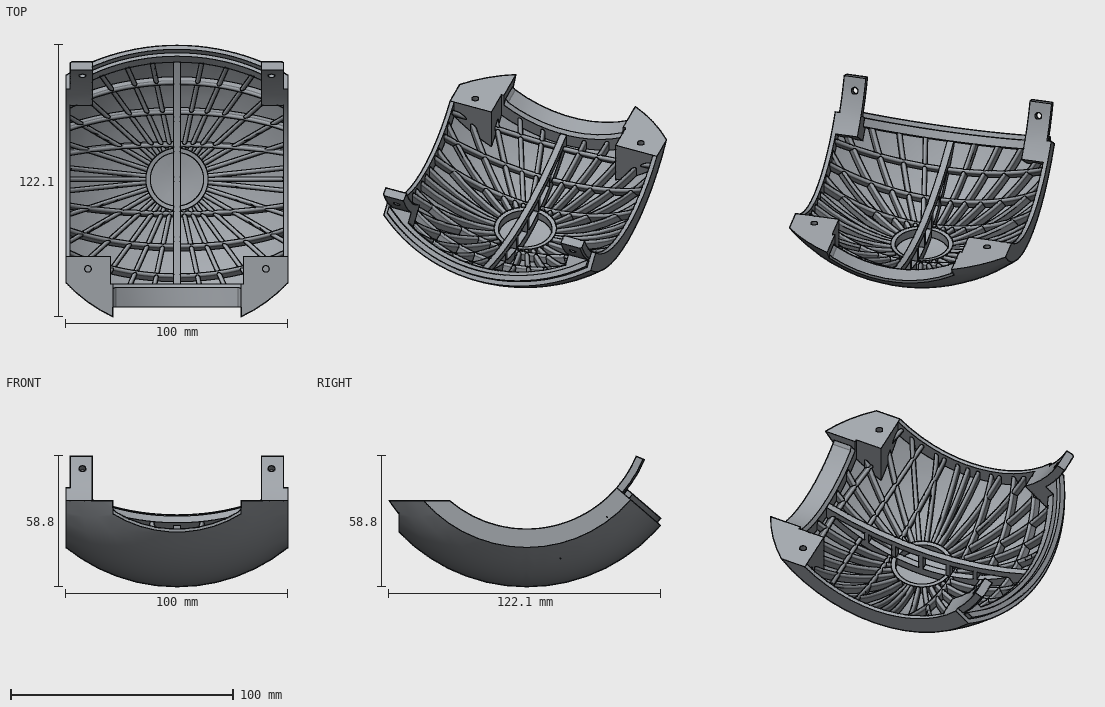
import cadquery as cq
import math

OUTER_RADIUS = 79.4
SHELL_INNER_RADIUS = 77.0
RIB_TOP_RADIUS = 73.0
BORE_RADIUS = 53.4
WIDTH = 100.0
SIDE_WALL = 2.0
FAR = 2.0 * OUTER_RADIUS

BACK_ANGLE = 40.7
BACK_FRAME_DEPTH = 4.0
LIP_HEIGHT = 2.5
LIP_OUTER_RADIUS = 77.4
LIP_INNER_RADIUS = 75.0

TAB_WIDTH = 10.0
TAB_THICKNESS = 4.0
TAB_END_ANGLE = 22.74
TAB_BLOCK_DEPTH = 10.0
TAB_CLEARANCE_RADIUS = 74.3
TAB_HOLE_ANGLE = 29.4
TAB_HOLE_X = 42.5
HOLE_DIAMETER = 3.0

DECK_Z = -40.6
BLOCK_INNER_X = 30.0
BLOCK_BACK_Y = -math.sqrt(BORE_RADIUS ** 2 - DECK_Z ** 2)
DECK_HOLE_X = 40.0
DECK_HOLE_Y = -40.3
DECK_HOLE_DEPTH = 10.0
OPENING_HALF_WIDTH = 28.8
OPENING_BEVEL = 1.4
FRONT_FRAME_Y = -47.0
FRONT_FRAME_RADIUS = 72.2
SILL_FRONT_Y = -57.5

RIB_WIDTH = 2.0
RIB_STEP_ANGLE = 12.0
CREST_OFFSET = 0.1
MERIDIANS = 15
CROSS_RIBS_PER_SIDE = 3
HUB_OUTER_RADIUS = 14.0
HUB_WALL = 2.0
ROOT_OVERLAP = 1.0

WEB_THICKNESS = 3.0
CHORD_RADIUS = 145.0
CHORD_LOW_Z = -62.4
CHORD_DEPTH = 3.0
STRUT_WIDTH = 2.0
STRUT_SPACING = 13.5
STRUTS_PER_SIDE = 2


def sphere(radius):
    return cq.Workplane("XY").sphere(radius)


def centred_box(x_size, y_min, y_max, z_min, z_max):
    box = cq.Workplane("XY").box(x_size, y_max - y_min, z_max - z_min)
    return box.translate((0, (y_min + y_max) / 2, (z_min + z_max) / 2))


def back_point(radial, above=0.0):
    """Point (y, z) at a distance along the back plane and a height above it."""
    angle = math.radians(BACK_ANGLE)
    y = radial * math.cos(angle) + above * math.sin(angle)
    z = -radial * math.sin(angle) + above * math.cos(angle)
    return y, z


def polar_point(radius, angle_below_y):
    """Point (y, z) on a circle about the X axis."""
    angle = math.radians(angle_below_y)
    return radius * math.cos(angle), -radius * math.sin(angle)


def prism(points, x_min, x_max):
    """Extrude a closed (y, z) polygon between two X positions."""
    outline = cq.Workplane("YZ").workplane(offset=x_min).polyline(points).close()
    return outline.extrude(x_max - x_min)


def back_slab(bottom, top):
    """Slab parallel to the back plane, between two heights relative to it."""
    points = [
        back_point(BORE_RADIUS / 2, bottom),
        back_point(FAR, bottom),
        back_point(FAR, top),
        back_point(BORE_RADIUS / 2, top),
    ]
    return prism(points, -WIDTH / 2, WIDTH / 2)


def make_envelope():
    """Solid bowl: sphere trimmed by the sides, deck, bore and back plane."""
    profile = (
        cq.Workplane("YZ")
        .workplane(offset=-WIDTH / 2)
        .moveTo(BLOCK_BACK_Y, DECK_Z)
        .threePointArc((0, -BORE_RADIUS), back_point(BORE_RADIUS))
        .lineTo(*back_point(FAR))
        .lineTo(FAR, -FAR)
        .lineTo(-FAR, -FAR)
        .lineTo(-FAR, DECK_Z)
        .close()
        .extrude(WIDTH)
    )
    return sphere(OUTER_RADIUS).intersect(profile)


def make_shell(envelope):
    """Bowl wall with flat side walls and the thicker frames at both ends."""
    inner_width = WIDTH - 2 * SIDE_WALL
    cavity = sphere(SHELL_INNER_RADIUS).intersect(
        centred_box(inner_width, -FAR, FAR, -FAR, FAR)
    )
    back_frame = back_slab(-BACK_FRAME_DEPTH, LIP_HEIGHT).cut(sphere(RIB_TOP_RADIUS))
    front_frame = centred_box(WIDTH, -FAR, FRONT_FRAME_Y, -FAR, 0)
    front_frame = front_frame.cut(sphere(FRONT_FRAME_RADIUS))
    cavity = cavity.cut(back_frame).cut(front_frame)
    return envelope.cut(cavity)


def make_rib(crest):
    """Ring rib in the plane y = 0 with a rounded inner crest."""
    half = RIB_WIDTH / 2
    root = SHELL_INNER_RADIUS + ROOT_OVERLAP
    return (
        cq.Workplane("XY")
        .moveTo(root, -half)
        .lineTo(root, half)
        .lineTo(crest + half, half)
        .threePointArc((crest, 0), (crest + half, -half))
        .close()
        .revolve(360, (0, 0, 0), (0, 1, 0))
    )


def make_rib_region():
    """Space the ribs may fill: between the frames, side walls and hub."""
    deck_underside = DECK_Z - ROOT_OVERLAP
    low_back = back_point(FAR, -BACK_FRAME_DEPTH)
    points = [
        back_point(0, -BACK_FRAME_DEPTH),
        low_back,
        (low_back[0], -FAR),
        (FRONT_FRAME_Y, -FAR),
        (FRONT_FRAME_Y, deck_underside),
        (BLOCK_BACK_Y, deck_underside),
    ]
    inner_half = WIDTH / 2 - SIDE_WALL
    region = prism(points, -inner_half, inner_half)
    hub = cq.Workplane("XY").circle(HUB_OUTER_RADIUS).extrude(-FAR)
    return region.cut(hub)


def make_ribs():
    """Lattice of cross ribs through the X axis and meridian ribs through Z."""
    cross_rib = make_rib(RIB_TOP_RADIUS)
    meridian_rib = make_rib(RIB_TOP_RADIUS + CREST_OFFSET)
    x_axis = ((0, 0, 0), (1, 0, 0))
    z_axis = ((0, 0, 0), (0, 0, 1))
    region = make_rib_region()
    meridian_angles = [RIB_STEP_ANGLE * i for i in range(1, MERIDIANS)]
    cross_angles = [
        RIB_STEP_ANGLE * i for i in range(-CROSS_RIBS_PER_SIDE, CROSS_RIBS_PER_SIDE + 1)
    ]
    rings = [meridian_rib.rotate(*z_axis, 90 + angle) for angle in meridian_angles]
    rings += [cross_rib.rotate(*x_axis, angle) for angle in cross_angles]
    lattice = region.intersect(rings[0])
    for ring in rings[1:]:
        lattice = lattice.union(region.intersect(ring), clean=False)
    return lattice


def make_hub():
    """Ring wall around the bowl's lowest point."""
    root = SHELL_INNER_RADIUS + ROOT_OVERLAP
    ring = (
        cq.Workplane("XY")
        .circle(HUB_OUTER_RADIUS)
        .circle(HUB_OUTER_RADIUS - HUB_WALL)
        .extrude(-FAR)
    )
    return ring.intersect(sphere(root)).cut(sphere(RIB_TOP_RADIUS))


def make_chord_cylinder(radius):
    """Cylinder along X on the centre of the web's arched chord."""
    centre_z = CHORD_LOW_Z + CHORD_RADIUS
    disc = cq.Workplane("YZ").center(0, centre_z).circle(radius)
    return disc.extrude(WEB_THICKNESS, both=True)


def make_web():
    """Upright web along Y with an arched chord carried on struts."""
    root = sphere(SHELL_INNER_RADIUS + ROOT_OVERLAP)
    low_back = back_point(FAR, -BACK_FRAME_DEPTH / 2)
    points = [
        back_point(0, -BACK_FRAME_DEPTH / 2),
        low_back,
        (low_back[0], -FAR),
        (FRONT_FRAME_Y, -FAR),
        (FRONT_FRAME_Y, DECK_Z),
    ]
    plate = prism(points, -WEB_THICKNESS / 2, WEB_THICKNESS / 2).intersect(root)
    plate = plate.cut(make_chord_cylinder(CHORD_RADIUS))
    windows = sphere(RIB_TOP_RADIUS).cut(
        make_chord_cylinder(CHORD_RADIUS + CHORD_DEPTH)
    )
    for i in range(-STRUTS_PER_SIDE, STRUTS_PER_SIDE + 1):
        y = i * STRUT_SPACING
        strut = centred_box(WIDTH, y - STRUT_WIDTH / 2, y + STRUT_WIDTH / 2, -FAR, 0)
        windows = windows.cut(strut)
    return plate.cut(windows.intersect(centred_box(WEB_THICKNESS, -FAR, FAR, -FAR, 0)))


def make_deck_block(side, envelope):
    """Solid corner under the flat deck at the front."""
    x_size = WIDTH / 2 - BLOCK_INNER_X
    block = centred_box(x_size, -FAR, BLOCK_BACK_Y, -FAR, 0)
    block = block.translate((side * (BLOCK_INNER_X + x_size / 2), 0, 0))
    post_x = BLOCK_INNER_X + OPENING_HALF_WIDTH
    post = centred_box(BLOCK_INNER_X - OPENING_HALF_WIDTH, -FAR, FRONT_FRAME_Y, -FAR, 0)
    post = post.translate((side * post_x / 2, 0, 0))
    return block.union(post).intersect(envelope)


def make_opening():
    """Saddle cut between the deck blocks, with bevelled lower corners."""
    floor_half = OPENING_HALF_WIDTH - OPENING_BEVEL
    floor_z = -math.sqrt(BORE_RADIUS ** 2 - floor_half ** 2)
    saddle = (
        cq.Workplane("XZ", origin=(0, FRONT_FRAME_Y + ROOT_OVERLAP, 0))
        .moveTo(-floor_half, floor_z)
        .threePointArc((0, -BORE_RADIUS), (floor_half, floor_z))
        .lineTo(OPENING_HALF_WIDTH, floor_z + OPENING_BEVEL)
        .lineTo(OPENING_HALF_WIDTH, 0)
        .lineTo(-OPENING_HALF_WIDTH, 0)
        .lineTo(-OPENING_HALF_WIDTH, floor_z + OPENING_BEVEL)
        .close()
        .extrude(FAR)
    )
    front_trim = centred_box(2 * OPENING_HALF_WIDTH, -FAR, SILL_FRONT_Y, -FAR, 0)
    return saddle.union(front_trim)


def make_lip():
    """Thin rim standing on the back end, inset from the outer surface."""
    band = sphere(LIP_OUTER_RADIUS).cut(sphere(LIP_INNER_RADIUS))
    inner_width = WIDTH - 2 * SIDE_WALL
    column = centred_box(inner_width, 0, FAR, -FAR, 0)
    return band.intersect(back_slab(-ROOT_OVERLAP, LIP_HEIGHT)).intersect(column)


def make_tab(side, envelope):
    """Curved tab on a solid block, with a radial hole near its end."""
    x_size = TAB_WIDTH
    x_min = WIDTH / 2 - SIDE_WALL - TAB_WIDTH
    if side < 0:
        x_min = -x_min - x_size
    x_max = x_min + x_size
    tab_outer = BORE_RADIUS + TAB_THICKNESS
    mid_angle = (BACK_ANGLE + TAB_END_ANGLE) / 2
    tab = (
        cq.Workplane("YZ")
        .workplane(offset=x_min)
        .moveTo(*polar_point(BORE_RADIUS, BACK_ANGLE))
        .threePointArc(
            polar_point(BORE_RADIUS, mid_angle), polar_point(BORE_RADIUS, TAB_END_ANGLE)
        )
        .lineTo(*polar_point(tab_outer, TAB_END_ANGLE))
        .threePointArc(
            polar_point(tab_outer, mid_angle), polar_point(tab_outer, BACK_ANGLE)
        )
        .close()
        .extrude(x_size)
        .intersect(sphere(TAB_CLEARANCE_RADIUS))
    )
    hole_axis = cq.Vector(0, *polar_point(1, TAB_HOLE_ANGLE))
    hole = cq.Solid.makeCylinder(
        HOLE_DIAMETER / 2, FAR, cq.Vector(side * TAB_HOLE_X, 0, 0), hole_axis
    )
    block_column = centred_box(x_size, 0, FAR, -FAR, 0)
    block_column = block_column.translate(((x_min + x_max) / 2, 0, 0))
    core = envelope.intersect(sphere(SHELL_INNER_RADIUS + ROOT_OVERLAP))
    block = core.intersect(back_slab(-TAB_BLOCK_DEPTH, 0)).intersect(block_column)
    return tab.cut(cq.Workplane(obj=hole)).union(block)


def make_deck_hole(side):
    """Blind screw hole in one deck block."""
    centre = (side * DECK_HOLE_X, DECK_HOLE_Y, DECK_Z)
    circle = cq.Workplane("XY", origin=centre).circle(HOLE_DIAMETER / 2)
    return circle.extrude(-DECK_HOLE_DEPTH)


def make_part():
    """Join all features into one solid."""
    envelope = make_envelope()
    part = make_shell(envelope)
    part = part.union(make_hub()).union(make_ribs()).union(make_web())
    for side in (-1, 1):
        part = part.union(make_deck_block(side, envelope))
    part = part.cut(make_opening()).union(make_lip())
    for side in (-1, 1):
        part = part.union(make_tab(side, envelope))
        part = part.cut(make_deck_hole(side))
    return part


result = make_part()